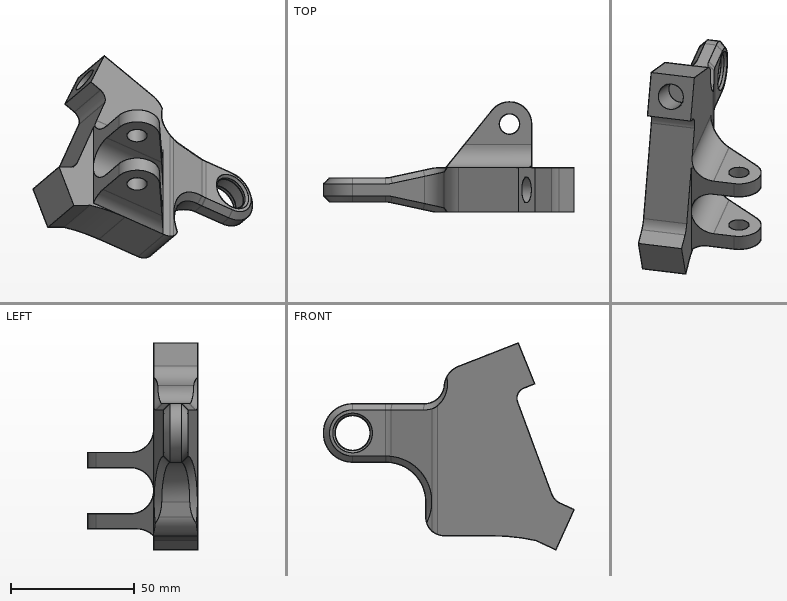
import cadquery as cq
import math


plate_half = 9.02
wall_x = 29.7
bottom_z = -41.8
corner_radius = 7.6
bend_start_x = 56.9
foot_heel = (74.5, -43.7)
foot_low = (82.5, -47.5)
foot_high = (90.0, -31.1)
foot_root = (83.8, -28.2)
back_low = (80.8, -24.7)
back_high = (67.1, 12.5)
notch_middle = (67.1, 15.7)
notch_end = (69.2, 18.0)
head_low = (74.0, 20.0)
head_high = (67.3, 36.6)
shoulder_end = (43.0, 27.1)
shoulder_radius = 9.3

arm_half_height = 11.9
arm_half_thickness = 4.94
taper_start_x = 14.5
taper_end_x = 33.3
blend_radius = 10.0
underarm_radius = 16.0
neck_radius = 7.9
arm_chamfer = 2.5
eye_radius = 7.0
eye_chamfer = 1.0
eye_lip = 1.2
eye_seat_radius = 7.2

lug_eye_x = 63.7
lug_radius = 9.1
lug_reach = 44.8 - plate_half
lug_foot_x = 37.8
lug_hole_radius = 4.1
lug_thickness = 6.2
upper_lug_z = -11.0
lower_lug_z = -35.9
lug_fillet = (upper_lug_z - lower_lug_z - lug_thickness) / 2

bolt_radius = 5.2
bolt_depth = 20.4

tall = 101.9
margin = 10.2


def polar(centre, radius, angle):
    return (centre[0] + radius * math.cos(angle), centre[1] + radius * math.sin(angle))


underarm_centre = (wall_x - underarm_radius, -arm_half_height - underarm_radius)
corner_centre = (wall_x + corner_radius, bottom_z + corner_radius)
top_angle = math.atan2(head_high[1] - shoulder_end[1], head_high[0] - shoulder_end[0])
shoulder_centre = polar(shoulder_end, shoulder_radius, top_angle - math.pi / 2)
neck_z = arm_half_height + neck_radius
neck_angle = math.asin((shoulder_centre[1] - neck_z) / (shoulder_radius + neck_radius))
neck_centre = (shoulder_centre[0] - (shoulder_radius + neck_radius) * math.cos(neck_angle), neck_z)
neck_end = polar(neck_centre, neck_radius, neck_angle)
shoulder_mid_angle = (math.pi + neck_angle + top_angle + math.pi / 2) / 2
bend_run = foot_heel[0] - bend_start_x
bend_drop = bottom_z - foot_heel[1]
bend_radius = (bend_run**2 + bend_drop**2) / (2 * bend_drop)
bend_angle = math.asin(bend_run / bend_radius)
bend_centre = (bend_start_x, bottom_z - bend_radius)
taper_slope = (plate_half - arm_half_thickness) / (taper_end_x - taper_start_x)


def outline_prism(half_depth):
    """Side outline of arm and plate, extruded to both sides of the mid-plane."""
    return (
        cq.Workplane("XZ")
        .moveTo(0, arm_half_height)
        .lineTo(neck_centre[0], arm_half_height)
        .threePointArc(polar(neck_centre, neck_radius, (neck_angle - math.pi / 2) / 2), neck_end)
        .threePointArc(polar(shoulder_centre, shoulder_radius, shoulder_mid_angle), shoulder_end)
        .lineTo(*head_high)
        .lineTo(*head_low)
        .lineTo(*notch_end)
        .threePointArc(notch_middle, back_high)
        .lineTo(*back_low)
        .tangentArcPoint(foot_root, relative=False)
        .lineTo(*foot_high)
        .lineTo(*foot_low)
        .lineTo(*foot_heel)
        .threePointArc(
            polar(bend_centre, bend_radius, (math.pi - bend_angle) / 2),
            (bend_start_x, bottom_z),
        )
        .lineTo(corner_centre[0], bottom_z)
        .threePointArc(polar(corner_centre, corner_radius, -0.75 * math.pi), (wall_x, corner_centre[1]))
        .lineTo(wall_x, underarm_centre[1])
        .threePointArc(
            polar(underarm_centre, underarm_radius, math.pi / 4),
            (underarm_centre[0], -arm_half_height),
        )
        .lineTo(0, -arm_half_height)
        .threePointArc((-arm_half_height, 0), (0, arm_half_height))
        .close()
        .extrude(half_depth, both=True)
    )


def mirrored_prism(half_profile, bend_xs):
    """Tall prism from an XY profile mirrored about Y = 0, rounded at the bends in it."""
    mirrored = [(x, -y) for x, y in reversed(half_profile)]
    prism = cq.Workplane("XY").polyline(half_profile + mirrored).close().extrude(tall, both=True)
    bends = cq.selectors.BoxSelector(
        (min(bend_xs) - 1, -margin, -1), (max(bend_xs) + 1, margin, 1)
    )
    return prism.edges("|Z").edges(bends).fillet(blend_radius)


def thickness_prism():
    """Thickness profile in XY: thin arm, taper and plate."""
    half_profile = [
        (-arm_half_height - margin, arm_half_thickness),
        (taper_start_x, arm_half_thickness),
        (taper_end_x, plate_half),
        (foot_high[0] + margin, plate_half),
    ]
    return mirrored_prism(half_profile, [taper_start_x, taper_end_x])


def chamfered_envelope():
    """Arm with an endless taper; its chamfer runs out where the plate faces cut it."""
    far_x = foot_high[0] + margin
    far_half = arm_half_thickness + taper_slope * (far_x - taper_start_x)
    neck_stop = polar(neck_centre, neck_radius, math.pi / 3)
    underarm_stop = polar(underarm_centre, underarm_radius, -math.pi / 3)
    high_z = head_high[1] + margin
    low_z = foot_low[1] - margin
    side = (
        cq.Workplane("XZ")
        .moveTo(0, arm_half_height)
        .lineTo(neck_centre[0], arm_half_height)
        .threePointArc(polar(neck_centre, neck_radius, 0), neck_stop)
        .lineTo(neck_stop[0], high_z)
        .lineTo(far_x, high_z)
        .lineTo(far_x, low_z)
        .lineTo(underarm_stop[0], low_z)
        .lineTo(*underarm_stop)
        .threePointArc(
            polar(underarm_centre, underarm_radius, 0),
            (underarm_centre[0], -arm_half_height),
        )
        .lineTo(0, -arm_half_height)
        .threePointArc((-arm_half_height, 0), (0, arm_half_height))
        .close()
        .extrude(far_half + margin, both=True)
    )
    half_profile = [
        (-arm_half_height - margin, arm_half_thickness),
        (taper_start_x, arm_half_thickness),
        (far_x, far_half),
    ]
    solid = side.intersect(mirrored_prism(half_profile, [taper_start_x]))
    rim = cq.selectors.BoxSelector(
        (-arm_half_height, -margin, underarm_stop[1]),
        (wall_x + neck_radius, margin, neck_stop[1] - 1),
    )
    return solid.edges("not(|Y or |Z)").edges(rim).chamfer(arm_chamfer)


def eye_cutter():
    """Bore of the arm eye: chamfered mouths, narrow lips and a slightly wider seat."""
    mouth = eye_radius + eye_chamfer
    chamfer_y = arm_half_thickness - eye_chamfer
    seat_y = chamfer_y - eye_lip
    return (
        cq.Workplane("XY")
        .moveTo(0, -arm_half_thickness)
        .lineTo(mouth, -arm_half_thickness)
        .lineTo(eye_radius, -chamfer_y)
        .lineTo(eye_radius, -seat_y)
        .lineTo(eye_seat_radius, -seat_y)
        .lineTo(eye_seat_radius, seat_y)
        .lineTo(eye_radius, seat_y)
        .lineTo(eye_radius, chamfer_y)
        .lineTo(mouth, arm_half_thickness)
        .lineTo(0, arm_half_thickness)
        .close()
        .revolve(360, (0, 0), (0, 1))
    )


def lug_outline():
    """Plan shape shared by both lugs, with the pin hole, as a tall prism."""
    eye_y = lug_reach - lug_radius
    foot_run = lug_eye_x - lug_foot_x
    foot_rise = eye_y - plate_half
    edge_angle = math.atan2(foot_rise, foot_run) + math.asin(lug_radius / math.hypot(foot_run, foot_rise))
    eye = (lug_eye_x, eye_y)
    right_x = lug_eye_x + lug_radius
    tangent_point = polar(eye, lug_radius, edge_angle + math.pi / 2)
    return (
        cq.Workplane("XY")
        .moveTo(lug_foot_x, plate_half)
        .lineTo(*tangent_point)
        .threePointArc(polar(eye, lug_radius, (edge_angle + math.pi / 2) / 2), (right_x, eye_y))
        .lineTo(right_x, plate_half)
        .close()
        .moveTo(*eye)
        .circle(lug_hole_radius)
        .extrude(tall, both=True)
    )


def lug_profile(middle_z, lower_flare):
    """Section of one lug in YZ; the flare below it is an arc that drops by lower_flare."""
    high_z = middle_z + lug_thickness / 2
    low_z = middle_z - lug_thickness / 2
    upper_centre = (plate_half + lug_fillet, high_z + lug_fillet)
    flare_angle = math.acos(1 - lower_flare / lug_fillet)
    lower_centre = (plate_half + lug_fillet * math.sin(flare_angle), low_z - lug_fillet)
    return (
        cq.Workplane("YZ")
        .moveTo(plate_half, upper_centre[1])
        .threePointArc(polar(upper_centre, lug_fillet, -0.75 * math.pi), (upper_centre[0], high_z))
        .lineTo(lug_reach, high_z)
        .lineTo(lug_reach, low_z)
        .lineTo(lower_centre[0], low_z)
        .threePointArc(
            polar(lower_centre, lug_fillet, math.pi / 2 + flare_angle / 2),
            (plate_half, low_z - lower_flare),
        )
        .close()
        .extrude(foot_high[0])
    )


def bolt_cutter():
    """Blind hole, square to the middle of the sloping end face of the head."""
    middle_x = (head_high[0] + head_low[0]) / 2
    middle_z = (head_high[1] + head_low[1]) / 2
    inward = cq.Vector(head_low[1] - head_high[1], 0, head_high[0] - head_low[0])
    mouth = cq.Vector(middle_x, 0, middle_z)
    return cq.Workplane(cq.Solid.makeCylinder(bolt_radius, bolt_depth, mouth, inward))


result = outline_prism(plate_half).intersect(thickness_prism()).intersect(chamfered_envelope())

lower_lug_drop = lower_lug_z - lug_thickness / 2 - bottom_z
for lug_z, lower_flare in [(upper_lug_z, lug_fillet), (lower_lug_z, lower_lug_drop)]:
    lug = lug_outline().intersect(lug_profile(lug_z, lower_flare))
    result = result.union(lug.intersect(outline_prism(lug_reach)))

result = result.cut(eye_cutter()).cut(bolt_cutter())